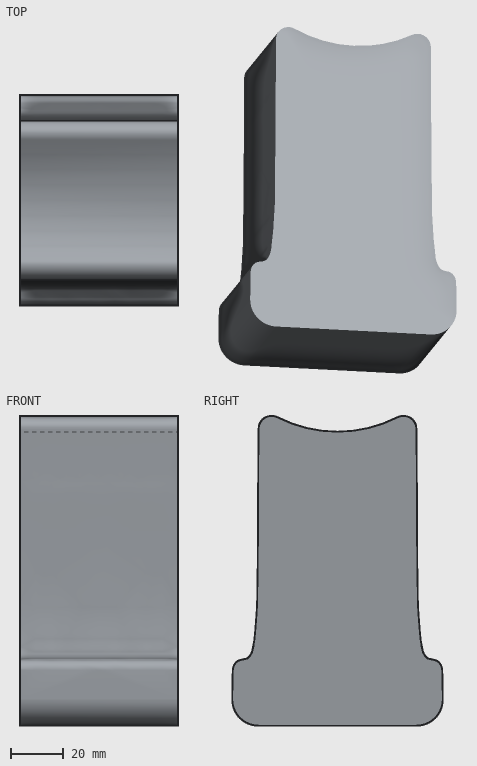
import cadquery as cq
import math

length = 60.0
height = 117.7
foot_half_width = 40.0
neck_half_width = 30.0
bottom_radius = 10.0
saddle_radius = 50.0
lip_radius = 5.0

flank_points = [
    (39.9, 19.0),
    (39.3, 23.0),
    (37.5, 24.8),
    (34.3, 25.6),
    (32.5, 28.0),
    (31.5, 33.0),
    (30.6, 45.0),
    (30.25, 60.0),
    (30.2, 90.0),
]

lip_center_y = neck_half_width - lip_radius
lip_center_z = height - lip_radius
saddle_center_z = lip_center_z + math.sqrt((saddle_radius + lip_radius) ** 2 - lip_center_y ** 2)
saddle_bottom_z = saddle_center_z - saddle_radius

center_share = saddle_radius / (saddle_radius + lip_radius)
saddle_end_y = lip_center_y * center_share
saddle_end_z = saddle_center_z + (lip_center_z - saddle_center_z) * center_share

UPWARD = (0, 1)


def half_profile():
    """Closed YZ outline of the +Y half, from the bottom centre up to the cradle."""
    bottom_arc_inset = bottom_radius * (1 - math.sqrt(0.5))
    return (
        cq.Workplane("YZ")
        .lineTo(foot_half_width - bottom_radius, 0)
        .threePointArc(
            (foot_half_width - bottom_arc_inset, bottom_arc_inset),
            (foot_half_width, bottom_radius),
        )
        .spline(
            flank_points + [(neck_half_width, lip_center_z)],
            tangents=[UPWARD, UPWARD],
            includeCurrent=True,
        )
        .threePointArc((lip_center_y, height), (saddle_end_y, saddle_end_z))
        .radiusArc((0, saddle_bottom_z), saddle_radius)
        .close()
    )


half_block = half_profile().extrude(length).translate((-length / 2, 0, 0))
result = half_block.union(half_block.mirror("XZ")).clean()